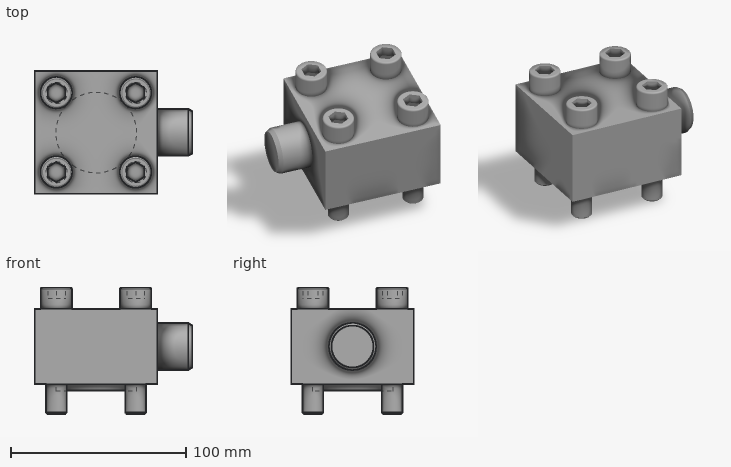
import cadquery as cq
import math

block_side = 70.0
block_height = 43.0

screw_pitch = 45.2
shank_diameter = 12.0
shank_projection = 17.0
shank_chamfer = 1.0
head_diameter = 18.0
head_height = 12.0
head_edge = 1.0
socket_sides = 6
socket_flats = 10.0
socket_turn = 90.0
socket_depth = 6.0

spigot_diameter = 26.9
spigot_length = 20.0
spigot_height = block_height / 2
spigot_chamfer_length = 2.5
spigot_chamfer_depth = 1.5

boss_diameter = 46.0
boss_height = 3.7


def make_block():
    return cq.Workplane("XY").box(block_side, block_side, block_height, centered=(True, True, False))


def make_boss():
    return cq.Workplane("XY").circle(boss_diameter / 2).extrude(-boss_height)


def make_spigot():
    """Cylinder along +X, with its free end chamfered."""
    root = cq.Workplane("YZ", origin=(block_side / 2, 0, spigot_height))
    spigot = root.circle(spigot_diameter / 2).extrude(spigot_length)
    return spigot.faces(">X").chamfer(spigot_chamfer_length, spigot_chamfer_depth)


def make_head():
    """Screw head with a rounded top rim and a hexagon socket."""
    head = cq.Workplane("XY").circle(head_diameter / 2).extrude(head_height)
    head = head.faces(">Z").edges().fillet(head_edge)
    across_corners = socket_flats / math.cos(math.pi / socket_sides)
    socket = (
        cq.Workplane("XY", origin=(0, 0, head_height))
        .transformed(rotate=(0, 0, socket_turn))
        .polygon(socket_sides, across_corners)
        .extrude(-socket_depth)
    )
    return head.cut(socket)


def make_shank_end():
    """Screw shank projecting below the block, with a chamfered tip."""
    shank = cq.Workplane("XY").circle(shank_diameter / 2).extrude(-shank_projection)
    return shank.faces("<Z").chamfer(shank_chamfer)


result = make_block().union(make_boss()).union(make_spigot())

screw_head = make_head()
shank_end = make_shank_end()
screw_offsets = (-screw_pitch / 2, screw_pitch / 2)
for x in screw_offsets:
    for y in screw_offsets:
        result = result.union(screw_head.translate((x, y, block_height)))
        result = result.union(shank_end.translate((x, y, 0)))